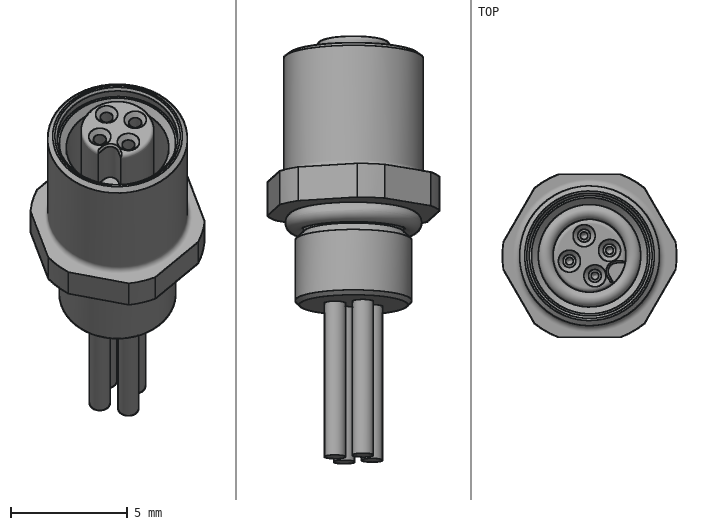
import cadquery as cq
import math

total_height = 18.2
body_bottom = 6.72
body_top = 9.88
nut_bottom = 10.72
nut_top = 12.2
rim_height = 17.65

nut_sides = 6
nut_flats = 7.0
nut_corner_radius = 3.75

collar_radius = 3.0
collar_fillet = 0.27
rim_chamfer_height = 0.16
rim_outer_radius = 2.78
rim_inner_radius = 2.7

mouth_radius = 2.58
mouth_chamfer = rim_inner_radius - mouth_radius
mouth_depth = 0.5
throat_radius = 2.5
bore_radius = 2.2
bore_start_depth = mouth_depth + throat_radius - bore_radius
bore_floor = 12.74

body_radius = 2.51
body_top_chamfer = 0.35
body_bottom_chamfer = 0.18
seal_tube_radius = (nut_bottom - body_top) / 2
seal_center_radius = body_radius
neck_radius = body_radius - body_top_chamfer

insert_radius = 1.57
insert_fillet = 0.18

key_angle = -30.0
key_half_angle = math.radians(30.0)
key_nose_radius = 0.36
key_nose_center = 1.35
key_depth = 2.18
key_chamfer = 0.1
key_chamfer_angle = 45.0

contact_count = 4
contact_circle_radius = 0.9
contact_start_angle = key_angle + 180.0 / contact_count
socket_mouth_radius = 0.47
socket_radius = 0.27
socket_cone_depth = socket_mouth_radius - socket_radius
socket_depth = 0.91
pin_hole_radius = 0.16
pin_hole_depth = 1.82
wire_radius = 0.45


def cylinder(radius, bottom, top):
    return cq.Workplane("XY").workplane(offset=bottom).circle(radius).extrude(top - bottom)


def torus(center_radius, tube_radius, height):
    tube = cq.Workplane("XZ").center(center_radius, height).circle(tube_radius)
    return tube.revolve(360, (-center_radius, 0, 0), (-center_radius, 1, 0))


def revolve_profile(points):
    return cq.Workplane("XZ").polyline(points).close().revolve(360, (0, 0, 0), (0, 1, 0))


def make_nut():
    height = nut_top - nut_bottom
    hexagon_diameter = nut_flats / math.cos(math.pi / nut_sides)
    base = cq.Workplane("XY").workplane(offset=nut_bottom)
    hexagon = base.polygon(nut_sides, hexagon_diameter).extrude(height)
    return hexagon.intersect(cylinder(nut_corner_radius, nut_bottom, nut_top))


def make_collar():
    """Outer shell with a concave fillet onto the nut and a chamfered rim."""
    profile = (
        cq.Workplane("XZ")
        .moveTo(0, nut_top)
        .lineTo(collar_radius + collar_fillet, nut_top)
        .radiusArc((collar_radius, nut_top + collar_fillet), collar_fillet)
        .lineTo(collar_radius, rim_height - rim_chamfer_height)
        .lineTo(rim_outer_radius, rim_height)
        .lineTo(0, rim_height)
        .close()
    )
    return profile.revolve(360, (0, 0, 0), (0, 1, 0))


def make_bore():
    return revolve_profile([
        (0, bore_floor),
        (bore_radius, bore_floor),
        (bore_radius, rim_height - bore_start_depth),
        (throat_radius, rim_height - mouth_depth),
        (mouth_radius, rim_height - mouth_depth),
        (mouth_radius, rim_height - mouth_chamfer),
        (rim_inner_radius, rim_height),
        (0, rim_height),
    ])


def make_body():
    """Lower body and neck, with the outer seal ring under the nut."""
    body = cylinder(body_radius, body_bottom, body_top)
    body = body.faces(">Z").edges().chamfer(body_top_chamfer)
    body = body.faces("<Z").edges().chamfer(body_bottom_chamfer)
    neck = cylinder(neck_radius, body_top, nut_bottom)
    seal = torus(seal_center_radius, seal_tube_radius, (nut_bottom + body_top) / 2)
    return body.union(neck).union(seal)


def keyway_outline(height):
    """V outline along +X with a rounded nose tangent to both sides."""
    tangent_x = key_nose_center - key_nose_radius * math.sin(key_half_angle)
    tangent_y = key_nose_radius * math.cos(key_half_angle)
    mouth_x = insert_radius + key_nose_radius
    mouth_y = tangent_y + (mouth_x - tangent_x) * math.tan(key_half_angle)
    return (
        cq.Workplane("XY")
        .workplane(offset=height)
        .moveTo(mouth_x, mouth_y)
        .lineTo(tangent_x, tangent_y)
        .threePointArc((key_nose_center - key_nose_radius, 0), (tangent_x, -tangent_y))
        .lineTo(mouth_x, -mouth_y)
        .close()
    )


def make_keyway():
    """Keyway cutter, widened at the top to chamfer the edge of the insert face."""
    groove = keyway_outline(total_height - key_depth).extrude(key_depth)
    flare = keyway_outline(total_height - key_chamfer).extrude(key_chamfer, taper=-key_chamfer_angle)
    return groove.union(flare).rotate((0, 0, 0), (0, 0, 1), key_angle)


def make_socket():
    """Countersunk contact hole with a narrower pin hole at its bottom."""
    return revolve_profile([
        (0, total_height),
        (socket_mouth_radius, total_height),
        (socket_radius, total_height - socket_cone_depth),
        (socket_radius, total_height - socket_depth),
        (pin_hole_radius, total_height - socket_depth),
        (pin_hole_radius, total_height - pin_hole_depth),
        (0, total_height - pin_hole_depth - pin_hole_radius),
    ])


def at_contacts(shape):
    """Copies of a shape at every contact position."""
    placed = shape.translate((contact_circle_radius, 0, 0))
    step = 360.0 / contact_count
    return [
        placed.rotate((0, 0, 0), (0, 0, 1), contact_start_angle + i * step)
        for i in range(contact_count)
    ]


def make_insert():
    insert = cylinder(insert_radius, bore_floor, total_height)
    insert = insert.faces(">Z").edges().fillet(insert_fillet)
    insert = insert.cut(make_keyway())
    for socket in at_contacts(make_socket()):
        insert = insert.cut(socket)
    return insert


def make_gap_seal():
    """Ring filling the gap between insert and bore, half sunk in the bore floor."""
    tube_radius = (bore_radius - insert_radius) / 2
    return torus(insert_radius + tube_radius, tube_radius, bore_floor)


result = make_nut().union(make_collar()).cut(make_bore())
result = result.union(make_gap_seal()).union(make_body()).union(make_insert())
for wire in at_contacts(cylinder(wire_radius, 0, body_bottom)):
    result = result.union(wire)